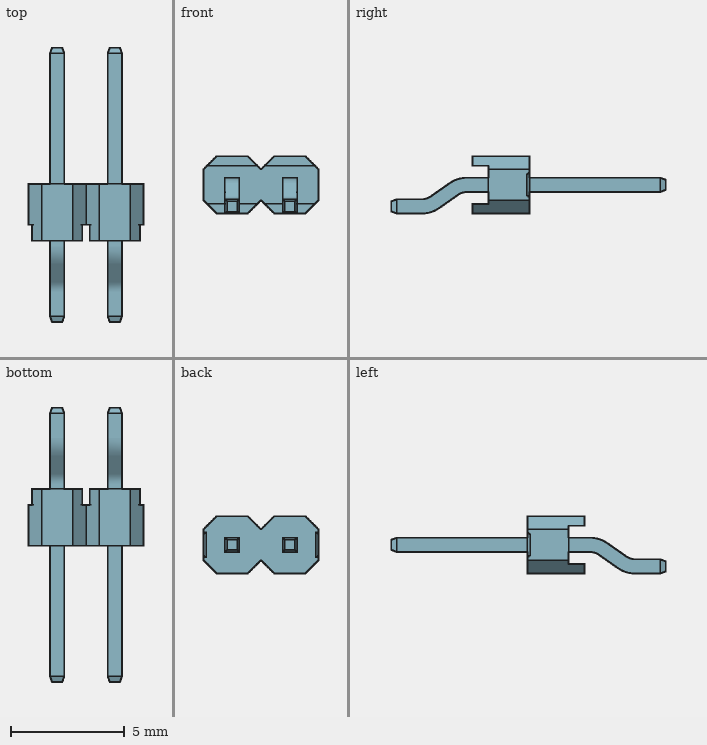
import cadquery as cq
import math

pitch = 2.54
pin_count = 2
overall_length = 12.1
housing_height = 2.54
housing_back = 0.05
core_length = 1.82
lip_length = 0.7
cell_chamfer = 0.59
lip_thickness = 0.44

corner_bevel = 0.12
corner_bevel_height = 1.11
corner_bevel_taper = 0.1

pin_width = 0.64
tip_width = 0.45
tip_length = 0.25
bend_start = -2.71
bend_radius = 1.0
bend_angle = math.radians(35)

pin_xs = [(i - (pin_count - 1) / 2) * pitch for i in range(pin_count)]
housing_width = pin_count * pitch
half_height = housing_height / 2
half_pin = pin_width / 2
foot_level = half_pin - half_height
back_tip = overall_length / 2
front_tip = -overall_length / 2


def make_cell(x):
    """One octagonal housing cell, with front lips above and below a recess."""
    length = core_length + lip_length
    cell = (
        cq.Workplane("XY")
        .box(pitch, length, housing_height)
        .edges("|Y")
        .chamfer(cell_chamfer)
        .translate((x, housing_back - length / 2, 0))
    )
    recess = cq.Workplane("XY").box(pitch, lip_length, housing_height - 2 * lip_thickness)
    recess_center = housing_back - core_length - lip_length / 2
    return cell.cut(recess.translate((x, recess_center, 0)))


def make_corner_bevel(side):
    """Wedge that bevels an outer back corner and shortens with depth; side is -1 or 1."""
    corner_x = side * housing_width / 2
    half_outer = corner_bevel_height / 2
    half_inner = half_outer - corner_bevel_taper
    deep_y = housing_back - corner_bevel
    wedge = (
        cq.Workplane("XY")
        .workplane(offset=-half_outer)
        .moveTo(corner_x, housing_back)
        .lineTo(corner_x - side * corner_bevel, housing_back)
        .lineTo(corner_x, deep_y)
        .close()
        .extrude(corner_bevel_height)
    )
    outline = (
        cq.Workplane("YZ")
        .moveTo(housing_back, half_outer)
        .lineTo(deep_y, half_inner)
        .lineTo(deep_y, -half_inner)
        .lineTo(housing_back, -half_outer)
        .close()
        .extrude(corner_x)
    )
    return wedge.intersect(outline)


def make_tip(x, z, base_y, direction):
    """Tapered pin end growing from base_y along +Y (1) or -Y (-1)."""
    plane = cq.Plane(origin=(x, base_y, z), xDir=(1, 0, 0), normal=(0, direction, 0))
    return (
        cq.Workplane(plane)
        .rect(pin_width, pin_width)
        .workplane(offset=tip_length)
        .rect(tip_width, tip_width)
        .loft(ruled=True)
    )


def make_pin(x):
    """Square pin whose front end steps down to a foot level with the housing base."""
    arc_run = bend_radius * math.sin(bend_angle)
    arc_drop = bend_radius * (1 - math.cos(bend_angle))
    half_run = bend_radius * math.sin(bend_angle / 2)
    half_drop = bend_radius * (1 - math.cos(bend_angle / 2))
    slope_drop = -foot_level - 2 * arc_drop
    slope_run = slope_drop / math.tan(bend_angle)
    bend_end = bend_start - 2 * arc_run - slope_run
    shank_back = back_tip - tip_length
    foot_front = front_tip + tip_length

    path = (
        cq.Workplane("YZ", origin=(x, 0, 0))
        .moveTo(shank_back, 0)
        .lineTo(bend_start, 0)
        .threePointArc((bend_start - half_run, -half_drop), (bend_start - arc_run, -arc_drop))
        .lineTo(bend_end + arc_run, foot_level + arc_drop)
        .threePointArc((bend_end + half_run, foot_level + half_drop), (bend_end, foot_level))
        .lineTo(foot_front, foot_level)
    )
    shank = (
        cq.Workplane("XZ", origin=(x, shank_back, 0))
        .rect(pin_width, pin_width)
        .sweep(path)
    )
    back_end = make_tip(x, 0, shank_back, 1)
    front_end = make_tip(x, foot_level, foot_front, -1)
    return shank.union(back_end).union(front_end)


housing = make_cell(pin_xs[0])
for pin_x in pin_xs[1:]:
    housing = housing.union(make_cell(pin_x))
for side in (-1, 1):
    housing = housing.cut(make_corner_bevel(side))

result = housing
for pin_x in pin_xs:
    result = result.union(make_pin(pin_x))